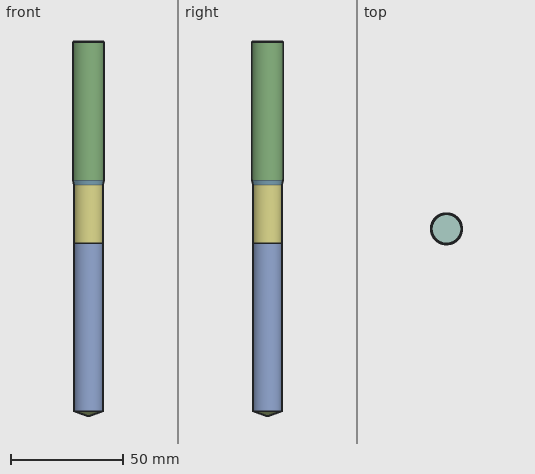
import cadquery as cq
import math

total_length = 167.0
shank_diameter = 14.0
cutter_diameter = 13.0

joint_height = 77.2
shoulder_bottom = 103.0
shoulder_top = 105.2

end_chamfer = 0.5
point_angle = 140.0

shank_radius = shank_diameter / 2
cutter_radius = cutter_diameter / 2
point_height = cutter_radius / math.tan(math.radians(point_angle / 2))


def turned(profile):
    """Revolve a closed (radius, height) profile about the Z axis."""
    return cq.Workplane("XZ").polyline(profile).close().revolve(360, (0, 0, 0), (0, 1, 0))


def make_shank():
    """Chamfered shank that tapers down to a neck of the cutter's diameter."""
    return turned([
        (0, joint_height),
        (cutter_radius, joint_height),
        (cutter_radius, shoulder_bottom),
        (shank_radius, shoulder_top),
        (shank_radius, total_length - end_chamfer),
        (shank_radius - end_chamfer, total_length),
        (0, total_length),
    ])


def make_cutter():
    """Cylindrical cutting length with a conical point at Z = 0."""
    return turned([
        (0, 0),
        (cutter_radius, point_height),
        (cutter_radius, joint_height),
        (0, joint_height),
    ])


shank = make_shank()
cutter = make_cutter()

result = cq.Compound.makeCompound([shank.val(), cutter.val()])